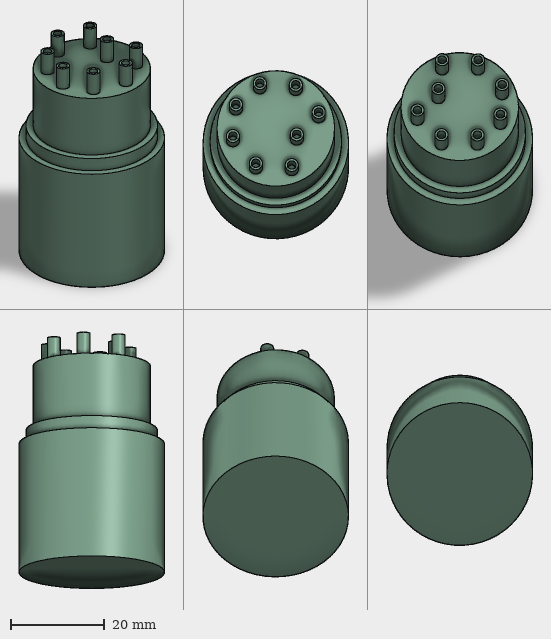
import cadquery as cq

body_diameter = 31
body_height = 28
shoulder_diameter = 28
shoulder_height = 3
insert_diameter = 25
insert_height = 14

pin_diameter = 2.8
pin_bore_diameter = 1.8
pin_height = 5
pin_bore_depth = pin_height

outer_pin_offset = 9.5
key_pin_offset = 5
corner_pin_x = 6.4
corner_pin_y = 7
pin_positions = [
    (-outer_pin_offset, 0),
    (outer_pin_offset, 0),
    (0, -outer_pin_offset),
    (0, key_pin_offset),
]
for x_side in (-1, 1):
    for y_side in (-1, 1):
        pin_positions.append((x_side * corner_pin_x, y_side * corner_pin_y))


def add_step(stack, diameter, height):
    """Stack a coaxial cylinder on the top face."""
    return stack.faces(">Z").workplane().circle(diameter / 2).extrude(height)


plug = cq.Workplane("XY").circle(body_diameter / 2).extrude(body_height)
plug = add_step(plug, shoulder_diameter, shoulder_height)
plug = add_step(plug, insert_diameter, insert_height)

pin_base = plug.faces(">Z").workplane()
plug = pin_base.pushPoints(pin_positions).circle(pin_diameter / 2).extrude(pin_height)

pin_tips = cq.Workplane("XY", origin=(0, 0, body_height + shoulder_height + insert_height + pin_height))
bores = pin_tips.pushPoints(pin_positions).circle(pin_bore_diameter / 2).extrude(-pin_bore_depth)

result = plug.cut(bores)